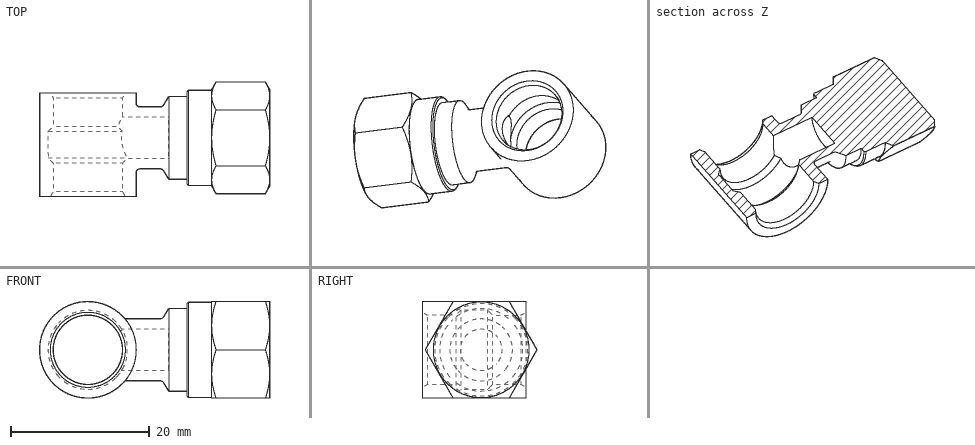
import cadquery as cq
import math

ring_radius = 7.0
ring_front = -8.5
ring_length = 15.0
bore_radius = 5.0
mouth_radius = 5.43
mouth_depth = 0.73
recess_inset = 4.83
recess_depth = 0.73
side_hole_radius = 3.0
side_hole_end = 11.65

total_length = 33.32
neck_radius = 4.5
cone_start = 10.75
cone_end = 11.7
body_radius = 6.0
collar_start = 14.33
collar_radius = 6.9
collar_chamfer = 0.2
nut_start = 17.85
nut_end = total_length - ring_radius
root_fillet = 0.5
edge_margin = 0.03

nut_flats = 14.0
nut_corner_radius = nut_flats / math.sqrt(3)
nut_face_radius = 6.93
nut_chamfer_angle = 30.0


def make_stem():
    """Revolved neck, cone, body and collar."""
    outline = [
        (0, 0),
        (0, neck_radius),
        (cone_start, neck_radius),
        (cone_end, body_radius),
        (collar_start, body_radius),
        (collar_start, collar_radius - collar_chamfer),
        (collar_start + collar_chamfer, collar_radius),
        (nut_start, collar_radius),
        (nut_start, 0),
    ]
    stem = cq.Workplane("XY").polyline(outline).close().revolve(360, (0, 0, 0), (1, 0, 0))
    cone_root = cq.selectors.BoxSelector(
        (cone_start - edge_margin, -body_radius, -body_radius),
        (cone_start + edge_margin, body_radius, body_radius),
        boundingbox=True,
    )
    return stem.edges(cone_root).fillet(root_fillet)


def make_nut():
    """Hexagonal prism whose corners are cut by a cone at both ends."""
    length = nut_end - nut_start
    corner_cut = (nut_corner_radius - nut_face_radius) * math.tan(math.radians(nut_chamfer_angle))
    hexagon = cq.Workplane("YZ", origin=(nut_start, 0, 0)).polygon(6, 2 * nut_corner_radius).extrude(length)
    outline = [
        (nut_start, 0),
        (nut_start, nut_face_radius),
        (nut_start + corner_cut, nut_corner_radius),
        (nut_end - corner_cut, nut_corner_radius),
        (nut_end, nut_face_radius),
        (nut_end, 0),
    ]
    envelope = cq.Workplane("XY").polyline(outline).close().revolve(360, (0, 0, 0), (1, 0, 0))
    return hexagon.intersect(envelope)


def join_ring_and_stem():
    """Ring and stem with a small fillet where the neck leaves the ring."""
    ring = cq.Workplane("XZ", origin=(0, ring_front, 0)).circle(ring_radius).extrude(-ring_length)
    joined = ring.union(make_stem())
    neck_root = cq.selectors.BoxSelector(
        (ring_radius / 2, -neck_radius - edge_margin, -neck_radius - edge_margin),
        (ring_radius + edge_margin, neck_radius + edge_margin, neck_radius + edge_margin),
        boundingbox=True,
    )
    return joined.edges(neck_root).fillet(root_fillet)


def make_bore():
    """Through bore with chamfered mouths and a middle recess with 45-degree flanks."""
    back = ring_front + ring_length
    recess_start = ring_front + recess_inset
    recess_end = back - recess_inset
    recess_radius = bore_radius + recess_depth
    outline = [
        (0, ring_front),
        (mouth_radius, ring_front),
        (bore_radius, ring_front + mouth_depth),
        (bore_radius, recess_start),
        (recess_radius, recess_start + recess_depth),
        (recess_radius, recess_end - recess_depth),
        (bore_radius, recess_end),
        (bore_radius, back - mouth_depth),
        (mouth_radius, back),
        (0, back),
    ]
    return cq.Workplane("XY").polyline(outline).close().revolve(360, (0, 0, 0), (0, 1, 0))


def make_side_hole():
    """Blind hole along the stem axis, opening into the bore."""
    return cq.Workplane("YZ").circle(side_hole_radius).extrude(side_hole_end)


result = join_ring_and_stem().union(make_nut()).cut(make_bore()).cut(make_side_hole())